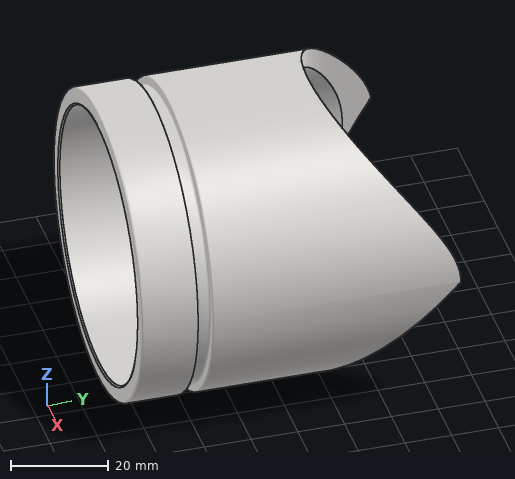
import cadquery as cq
import math

outer_diameter = 66.0
inner_diameter = 58.5
length = 68.1
end_round = 0.55
bore_chamfer = 0.35

groove_diameter = 62.0
groove_start = 12.05
groove_width = 3.05
groove_floor_round = 0.5
groove_rim_round = 0.4

saddle_diameter = 70.15

mitre_axis_y = 67.15
mitre_slant = 42.3
mitre_skew = 2.3

outer_radius = outer_diameter / 2
inner_radius = inner_diameter / 2
groove_radius = groove_diameter / 2
saddle_radius = saddle_diameter / 2
cutter_reach = 2 * outer_diameter


def make_tube():
    """Tube with a rounded outer rim and a chamfered bore at the plain end."""
    rod = cq.Workplane("XZ").circle(outer_radius).extrude(-length)
    rod = rod.faces("<Y").edges().fillet(end_round)
    bore = cq.Workplane("XZ").circle(inner_radius).extrude(-length)
    mouth = cq.Workplane("XY").polyline([
        (0, 0),
        (inner_radius + bore_chamfer, 0),
        (inner_radius, bore_chamfer),
        (0, bore_chamfer),
    ]).close().revolve(360, (0, 0, 0), (0, 1, 0))
    return rod.cut(bore).cut(mouth)


def cut_groove(tube):
    """Cut the ring groove, then round its floor corners and its rims."""
    groove_end = groove_start + groove_width
    ring = (
        cq.Workplane("XZ", origin=(0, groove_start, 0))
        .circle(outer_diameter)
        .circle(groove_radius)
        .extrude(-groove_width)
    )
    grooved = tube.cut(ring)

    def groove_edges(radius):
        margin = 0.1
        selector = cq.selectors.BoxSelector(
            (-margin, groove_start - margin, -margin),
            (margin, groove_end + margin, margin),
        )
        edges = grooved.edges("%CIRCLE").edges(selector)
        return edges.filter(lambda edge: abs(edge.radius() - radius) < margin)

    grooved = groove_edges(groove_radius).fillet(groove_floor_round)
    return groove_edges(outer_radius).fillet(groove_rim_round)


def make_saddle_cutter():
    """Upright cylinder placed so that the saddle tips just reach the full length."""
    axis_y = length + math.sqrt(saddle_radius**2 - outer_radius**2)
    return (
        cq.Workplane("XY")
        .center(0, axis_y)
        .circle(saddle_radius)
        .extrude(cutter_reach, both=True)
    )


def make_mitre_cutter():
    """Block whose near face is the skewed mitre plane."""
    plane_normal = cq.Vector(
        -math.tan(math.radians(mitre_skew)),
        1,
        -math.tan(math.radians(mitre_slant)),
    )
    mitre_plane = cq.Plane(origin=(0, mitre_axis_y, 0), normal=plane_normal)
    return cq.Workplane(mitre_plane).rect(2 * cutter_reach, 2 * cutter_reach).extrude(cutter_reach)


tube = cut_groove(make_tube())
result = tube.cut(make_saddle_cutter()).cut(make_mitre_cutter())